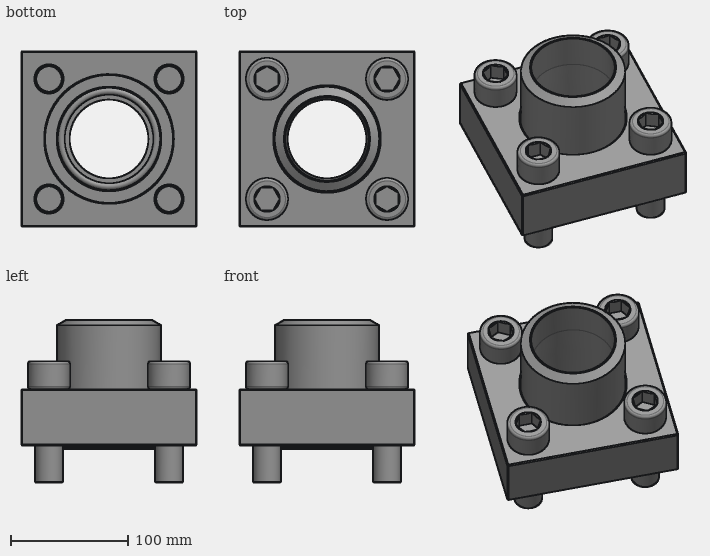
import cadquery as cq
import math

PLATE_SIDE = 150.0
PLATE_HEIGHT = 48.0
EDGE_CHAMFER = 1.0
PLATE_BORE_DIA = 90.0
COLLAR_RECESS_DIA = 111.0
BOLT_HOLE_DIA = 25.0
BOLT_PITCH = 102.5
FIRST_BOLT_ANGLE = 45.0
BOLT_COUNT = 4

HUB_RISE = 59.1
HUB_DIA = 89.0
HUB_BORE_DIA = 71.2
HUB_OUTLET_DIA = 67.0
STRAIGHT_BORE_DEPTH = 30.0
WELD_LAND = 1.2
WELD_BEVEL_ANGLE = 30.0
COLLAR_DIA = 110.0
COLLAR_THICKNESS = 18.0
COLLAR_CHAMFER = 0.5
COLLAR_PROTRUSION = 2.0

GROOVE_INNER_DIA = 75.6
GROOVE_OUTER_DIA = 89.5
SEAL_OUTER_DIA = 87.3
SEAL_PROTRUSION = 1.2

SHANK_DIA = 24.0
SHANK_LENGTH = 80.0
SHANK_TIP_CHAMFER = 1.2
HEAD_DIA = 36.0
HEAD_HEIGHT = 24.0
HEAD_FILLET = 2.4
SOCKET_CORNER_DIA = 21.9
SOCKET_DEPTH = 15.0
SOCKET_LEAD_IN_ANGLE = 30.0

hub_top = PLATE_HEIGHT + HUB_RISE
collar_bottom = -COLLAR_PROTRUSION
collar_top = collar_bottom + COLLAR_THICKNESS
seal_section_dia = (SEAL_OUTER_DIA - GROOVE_INNER_DIA) / 2
seal_bottom = collar_bottom - SEAL_PROTRUSION
groove_top = seal_bottom + seal_section_dia
bolt_circle_radius = BOLT_PITCH / math.sqrt(2)


def make_plate():
    plate = (
        cq.Workplane("XY")
        .box(PLATE_SIDE, PLATE_SIDE, PLATE_HEIGHT, centered=(True, True, False))
        .edges()
        .chamfer(EDGE_CHAMFER)
    )
    bore = cq.Workplane("XY").circle(PLATE_BORE_DIA / 2).extrude(PLATE_HEIGHT)
    bore_mouth = cq.Workplane(
        cq.Solid.makeCone(
            PLATE_BORE_DIA / 2,
            PLATE_BORE_DIA / 2 + EDGE_CHAMFER,
            EDGE_CHAMFER,
            pnt=cq.Vector(0, 0, PLATE_HEIGHT - EDGE_CHAMFER),
        )
    )
    recess = cq.Workplane("XY").circle(COLLAR_RECESS_DIA / 2).extrude(collar_top)
    bolt_holes = (
        cq.Workplane("XY")
        .polarArray(bolt_circle_radius, FIRST_BOLT_ANGLE, 360, BOLT_COUNT)
        .circle(BOLT_HOLE_DIA / 2)
        .extrude(PLATE_HEIGHT)
    )
    return plate.cut(bore).cut(bore_mouth).cut(recess).cut(bolt_holes)


def make_hub():
    land_radius = HUB_BORE_DIA / 2 + WELD_LAND
    bevel_height = (HUB_DIA / 2 - land_radius) * math.tan(math.radians(WELD_BEVEL_ANGLE))
    half_section = [
        (HUB_OUTLET_DIA / 2, collar_bottom),
        (GROOVE_INNER_DIA / 2, collar_bottom),
        (GROOVE_INNER_DIA / 2, groove_top),
        (GROOVE_OUTER_DIA / 2, groove_top),
        (GROOVE_OUTER_DIA / 2, collar_bottom),
        (COLLAR_DIA / 2 - COLLAR_CHAMFER, collar_bottom),
        (COLLAR_DIA / 2, collar_bottom + COLLAR_CHAMFER),
        (COLLAR_DIA / 2, collar_top),
        (HUB_DIA / 2, collar_top),
        (HUB_DIA / 2, hub_top - bevel_height),
        (land_radius, hub_top),
        (HUB_BORE_DIA / 2, hub_top),
        (HUB_BORE_DIA / 2, hub_top - STRAIGHT_BORE_DEPTH),
    ]
    return cq.Workplane("XZ").polyline(half_section).close().revolve(360, (0, 0), (0, 1))


def make_seal():
    ring_radius = (GROOVE_INNER_DIA + seal_section_dia) / 2
    return (
        cq.Workplane("XZ")
        .center(ring_radius, seal_bottom + seal_section_dia / 2)
        .circle(seal_section_dia / 2)
        .revolve(360, (-ring_radius, 0), (-ring_radius, 1))
    )


def make_bolt(angle):
    """Bolt on the bolt circle; its socket turns with its angle about the bore axis."""
    head = (
        cq.Workplane("XY")
        .circle(HEAD_DIA / 2)
        .extrude(HEAD_HEIGHT)
        .edges()
        .fillet(HEAD_FILLET)
    )
    shank = (
        cq.Workplane("XY")
        .circle(SHANK_DIA / 2)
        .extrude(-SHANK_LENGTH)
        .faces("<Z")
        .chamfer(SHANK_TIP_CHAMFER)
    )
    socket = (
        cq.Workplane("XY", origin=(0, 0, HEAD_HEIGHT))
        .polygon(6, SOCKET_CORNER_DIA)
        .extrude(-SOCKET_DEPTH)
    )
    mouth_radius = SOCKET_CORNER_DIA / 2
    lead_in = cq.Workplane(
        cq.Solid.makeCone(
            mouth_radius,
            0,
            mouth_radius * math.tan(math.radians(SOCKET_LEAD_IN_ANGLE)),
            pnt=cq.Vector(0, 0, HEAD_HEIGHT),
            dir=cq.Vector(0, 0, -1),
        )
    )
    bolt = head.union(shank).cut(socket).cut(lead_in)
    return (
        bolt.rotate((0, 0, 0), (0, 0, 1), -FIRST_BOLT_ANGLE)
        .translate((bolt_circle_radius, 0, PLATE_HEIGHT))
        .rotate((0, 0, 0), (0, 0, 1), angle)
    )


plate = make_plate()
hub = make_hub()
seal = make_seal()
bolts = [make_bolt(FIRST_BOLT_ANGLE + i * 360 / BOLT_COUNT) for i in range(BOLT_COUNT)]

result = cq.Compound.makeCompound(
    [plate.val(), hub.val(), seal.val(), *[bolt.val() for bolt in bolts]]
)